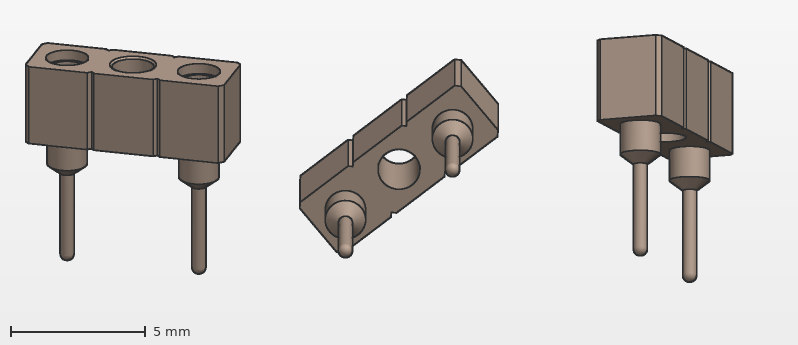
import cadquery as cq

cell_count = 3
length = 7.65
width = 2.55
pitch = 2.54
housing_height = 3.05
corner_chamfer = 0.18
notch_half_width = 0.13
notch_depth = 0.13

hole_diameter = 1.56
countersink_diameter = 1.72
countersink_depth = 0.08

recess_diameter = 1.58
recess_depth = 0.39
bore_diameter = 1.32
bore_depth = 2.41

total_height = 8.03
collar_diameter = 1.5
collar_length = 1.14
taper_length = 0.38
pin_diameter = 0.53


def make_housing():
    """Chamfered block with V notches between the cells."""
    block = (
        cq.Workplane("XY")
        .box(length, width, housing_height, centered=(True, True, False))
        .edges("|Z")
        .chamfer(corner_chamfer)
    )
    for boundary in range(1, cell_count):
        x = (boundary - cell_count / 2) * pitch
        for side in (-1, 1):
            face_y = side * width / 2
            notch = (
                cq.Workplane("XY")
                .moveTo(x - notch_half_width, face_y)
                .lineTo(x, face_y - side * notch_depth)
                .lineTo(x + notch_half_width, face_y)
                .close()
                .extrude(housing_height)
            )
            block = block.cut(notch)
    return block


def make_middle_hole():
    """Through hole with a small countersink at the top."""
    hole_radius = hole_diameter / 2
    return (
        cq.Workplane("XZ")
        .lineTo(hole_radius, 0)
        .lineTo(hole_radius, housing_height - countersink_depth)
        .lineTo(countersink_diameter / 2, housing_height)
        .lineTo(0, housing_height)
        .close()
        .revolve(360, (0, 0, 0), (0, 1, 0))
    )


def make_socket():
    """Stepped blind hole, open at the top."""
    bore = (
        cq.Workplane("XY")
        .workplane(offset=housing_height - bore_depth)
        .circle(bore_diameter / 2)
        .extrude(bore_depth)
    )
    recess = (
        cq.Workplane("XY")
        .workplane(offset=housing_height - recess_depth)
        .circle(recess_diameter / 2)
        .extrude(recess_depth)
    )
    return bore.union(recess)


def make_pin():
    """Collar, taper and thin pin with a hemispherical tip, hanging from the underside."""
    collar_radius = collar_diameter / 2
    pin_radius = pin_diameter / 2
    taper_end = -collar_length - taper_length
    tip_z = housing_height - total_height
    return (
        cq.Workplane("XZ")
        .lineTo(collar_radius, 0)
        .lineTo(collar_radius, -collar_length)
        .lineTo(pin_radius, taper_end)
        .lineTo(pin_radius, tip_z + pin_radius)
        .radiusArc((0, tip_z), pin_radius)
        .close()
        .revolve(360, (0, 0, 0), (0, 1, 0))
    )


result = make_housing().cut(make_middle_hole())
for x in (-pitch, pitch):
    result = result.union(make_pin().translate((x, 0, 0)))
    result = result.cut(make_socket().translate((x, 0, 0)))